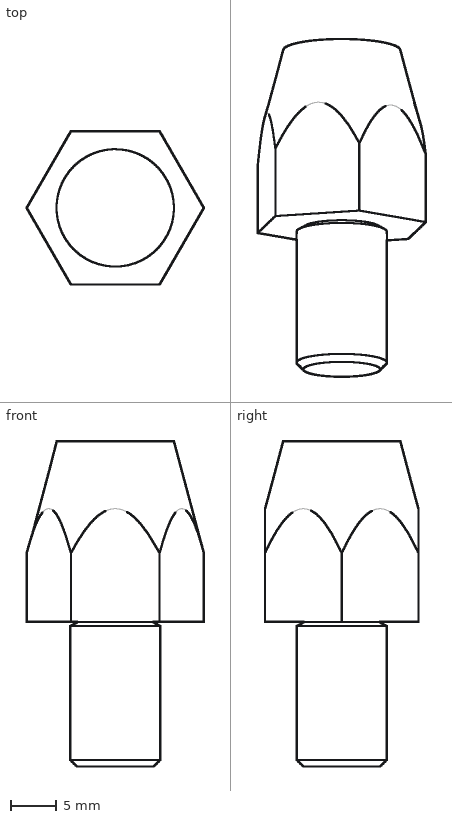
import cadquery as cq
import math

hexagon_sides = 6
across_flats = 17.0
sharp_across_corners = across_flats / math.cos(math.pi / hexagon_sides)
across_corners = 19.6
head_height = 20.0

top_radius = 13.0 / 2
cone_half_angle = 15.0

stud_radius = 10.0 / 2
stud_length = 16.0
tip_chamfer = 0.75
neck_radius = 8.376 / 2
neck_taper_angle = 30.0
neck_height = (stud_radius - neck_radius) * math.tan(math.radians(neck_taper_angle))


def revolve_profile(points):
    """Turn a closed (radius, height) outline around the Z axis."""
    return cq.Workplane("XZ").polyline(points).close().revolve(360, (0, 0), (0, 1))


def make_head():
    """Hexagonal prism with corners on the X axis, turned to a cylinder and a cone."""
    prism = cq.Workplane("XY").polygon(hexagon_sides, sharp_across_corners).extrude(head_height)
    corner_radius = across_corners / 2
    cone_height = (corner_radius - top_radius) / math.tan(math.radians(cone_half_angle))
    turned_envelope = revolve_profile([
        (0, 0),
        (corner_radius, 0),
        (corner_radius, head_height - cone_height),
        (top_radius, head_height),
        (0, head_height),
    ])
    return prism.intersect(turned_envelope)


def make_stud():
    """Round stud below the head: 45 degree tip chamfer and a shallow taper at the neck."""
    return revolve_profile([
        (0, 0),
        (neck_radius, 0),
        (stud_radius, -neck_height),
        (stud_radius, tip_chamfer - stud_length),
        (stud_radius - tip_chamfer, -stud_length),
        (0, -stud_length),
    ])


result = make_head().union(make_stud())